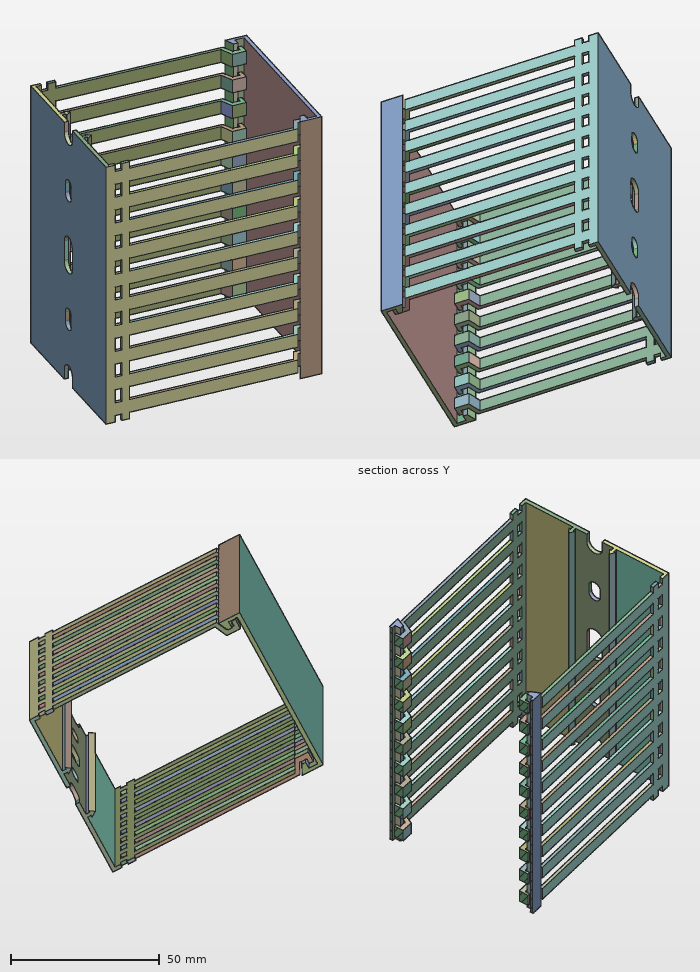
import cadquery as cq
import math

WIDTH = 60
DEPTH = 80
LENGTH = 100
HALF_WIDTH = WIDTH / 2

SIDE_WALL = 1.2
BACK_WALL = 1.5

SLAT_PITCH = 10
SLAT_WIDTH = 5
GAP_HEIGHT = SLAT_PITCH - SLAT_WIDTH

SLOT_START = 3.5
SLOT_END = 5.9
GAP_START = 8.8

LATCH_SLOPE = math.tan(math.radians(25))

HOOK_REACH = 5.7
HOOK_RECESS = 3.8
HOOK_LIP = 2.0
HOOK_LIP_THICKNESS = 1.5
HOOK_TOP = DEPTH - 2.7
HOOK_LIP_BOTTOM = HOOK_TOP - HOOK_LIP_THICKNESS
SHOULDER_OUTER = 71.2
SHOULDER_INNER = 70

LID_FLANK = 1.2
LID_THICKNESS = 1.5
LID_DEPTH = 8
LID_BOTTOM = DEPTH - LID_DEPTH
CATCH_REACH = 3.5
CATCH_TOP = DEPTH - 4.8

RIB_OFFSET = 8.5
RIB_STEM = 1.2
RIB_BARB = 2.6
RIB_BARB_BASE = 2.8
RIB_TIP = 4.7

LARGE_SLOT_LENGTH = 14
LARGE_SLOT_WIDTH = 6.4
LARGE_SLOT_HEIGHTS = (0, LENGTH / 2, LENGTH)
SMALL_SLOT_LENGTH = 8.2
SMALL_SLOT_WIDTH = 4.6
SMALL_SLOT_HEIGHTS = (LENGTH / 4, LENGTH * 3 / 4)


def profile(points):
    """Extrude a closed outline in XY over the full length."""
    return cq.Workplane("XY").polyline(points).close().extrude(LENGTH)


def symmetric_profile(left_points):
    """Extrude an outline given by its left half, as (distance from the outer face, Y) points."""
    placed = [(inset - HALF_WIDTH, y) for inset, y in left_points]
    right = [(-x, y) for x, y in reversed(placed)]
    return profile(placed + right)


def make_channel():
    """Back wall and side walls with their latch hooks."""
    return symmetric_profile([
        (0, 0),
        (0, SHOULDER_OUTER),
        (HOOK_RECESS, SHOULDER_OUTER + HOOK_RECESS * LATCH_SLOPE),
        (HOOK_RECESS, HOOK_LIP_BOTTOM),
        (HOOK_LIP, HOOK_LIP_BOTTOM),
        (HOOK_LIP, HOOK_TOP),
        (HOOK_REACH, HOOK_TOP),
        (HOOK_REACH, SHOULDER_INNER + (HOOK_REACH - SIDE_WALL) * LATCH_SLOPE),
        (SIDE_WALL, SHOULDER_INNER),
        (SIDE_WALL, BACK_WALL),
    ])


def make_rib(x):
    """Arrow-shaped rib rising from the back wall."""
    return profile([
        (x - RIB_STEM / 2, BACK_WALL),
        (x - RIB_STEM / 2, RIB_BARB_BASE),
        (x - RIB_BARB / 2, RIB_BARB_BASE),
        (x, RIB_TIP),
        (x + RIB_BARB / 2, RIB_BARB_BASE),
        (x + RIB_STEM / 2, RIB_BARB_BASE),
        (x + RIB_STEM / 2, BACK_WALL),
    ])


def make_side_opening(side, y_start, y_end, z):
    """Cutter through one side wall, as deep as the latch hook reaches."""
    x = side * (HALF_WIDTH - HOOK_REACH / 2)
    y = (y_start + y_end) / 2
    return cq.Workplane("XY").box(HOOK_REACH, y_end - y_start, GAP_HEIGHT).translate((x, y, z))


def make_mounting_slot(length, width, z):
    """Cutter through the back wall, long along Z."""
    return cq.Workplane("XZ").center(0, z).slot2D(length, width, 90).extrude(-BACK_WALL)


def make_trunk():
    trunk = make_channel()
    for x in (-RIB_OFFSET, RIB_OFFSET):
        trunk = trunk.union(make_rib(x))

    for index in range(LENGTH // SLAT_PITCH + 1):
        z = index * SLAT_PITCH
        for side in (-1, 1):
            trunk = trunk.cut(make_side_opening(side, SLOT_START, SLOT_END, z))
            trunk = trunk.cut(make_side_opening(side, GAP_START, DEPTH, z))

    for z in LARGE_SLOT_HEIGHTS:
        trunk = trunk.cut(make_mounting_slot(LARGE_SLOT_LENGTH, LARGE_SLOT_WIDTH, z))
    for z in SMALL_SLOT_HEIGHTS:
        trunk = trunk.cut(make_mounting_slot(SMALL_SLOT_LENGTH, SMALL_SLOT_WIDTH, z))
    return trunk


def make_lid():
    return symmetric_profile([
        (0, DEPTH),
        (0, LID_BOTTOM),
        (CATCH_REACH, LID_BOTTOM + CATCH_REACH * LATCH_SLOPE),
        (CATCH_REACH, CATCH_TOP),
        (LID_FLANK, CATCH_TOP),
        (LID_FLANK, DEPTH - LID_THICKNESS),
    ])


trunk = make_trunk()
lid = make_lid()
result = cq.Compound.makeCompound([trunk.val(), lid.val()])